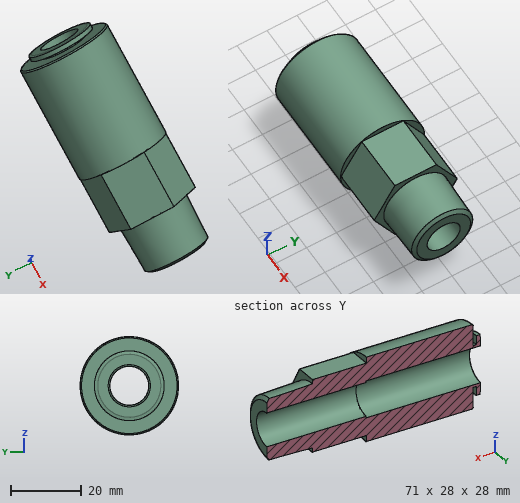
import cadquery as cq
import math

total_length = 71.0
flange_end = 1.5
body_start = 2.4
body_end = 38.0
hex_end = 55.9

flange_diameter = 19.8
flange_face_diameter = 17.9
flange_cone_depth = 0.16
neck_diameter = 14.0

body_diameter = 28.0
body_chamfer = 0.4

hex_across_flats = 24.0
hex_across_corners = hex_across_flats / math.cos(math.pi / 6)

thread_root_diameter = 21.3
thread_taper = 1 / 16
thread_chamfer_length = 0.8
thread_end_diameter = 17.9
thread_chamfer_start = total_length - thread_chamfer_length
thread_chamfer_diameter = thread_root_diameter - thread_taper * (thread_chamfer_start - hex_end)

bore_diameter = 11.0
seat_diameter = 12.0
seat_depth = body_end


def cylinder(diameter, start, end):
    """Cylinder on the X axis between two stations."""
    return cq.Workplane("YZ", origin=(start, 0, 0)).circle(diameter / 2).extrude(end - start)


def revolved(stations):
    """Solid of revolution about X through (station, diameter) pairs."""
    outline = [(x, diameter / 2) for x, diameter in stations]
    axis_start = (stations[0][0], 0)
    axis_end = (stations[-1][0], 0)
    profile = cq.Workplane("XY").polyline([axis_start] + outline + [axis_end]).close()
    return profile.revolve(360, (0, 0, 0), (1, 0, 0))


def make_collar():
    flange = revolved([
        (0, flange_face_diameter),
        (flange_cone_depth, flange_diameter),
        (flange_end, flange_diameter),
    ])
    return flange.union(cylinder(neck_diameter, flange_end, body_start))


def make_body():
    return cylinder(body_diameter, body_start, body_end).faces("<X").chamfer(body_chamfer)


def make_hex():
    section = cq.Workplane("YZ", origin=(body_end, 0, 0)).polygon(6, hex_across_corners)
    return section.extrude(hex_end - body_end)


def make_thread():
    return revolved([
        (hex_end, thread_root_diameter),
        (thread_chamfer_start, thread_chamfer_diameter),
        (total_length, thread_end_diameter),
    ])


solid = make_collar().union(make_body()).union(make_hex()).union(make_thread())
bore = cylinder(bore_diameter, 0, total_length)
tube_seat = cylinder(seat_diameter, 0, seat_depth)

result = solid.cut(bore).cut(tube_seat)